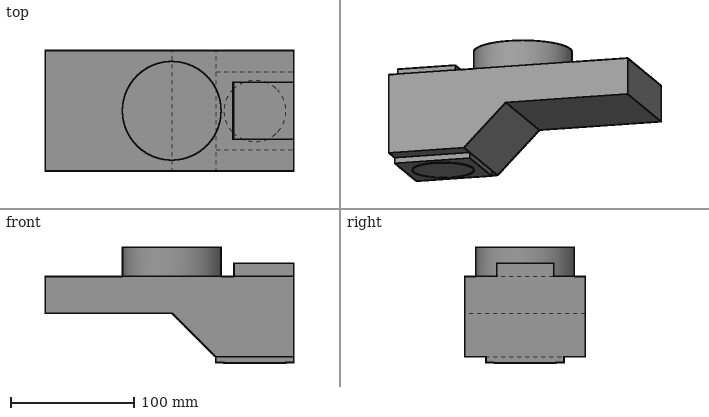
import cadquery as cq

length = 201.5
width = 98.0
arm_thickness = 30.0
block_depth = 65.3
foot_length = 63.5

boss_diameter = 80.0
boss_height = 23.5
boss_x = 102.5

pad_length = 48.5
pad_width = 46.1
pad_height = 10.7
pad_offset_y = 0.2
groove_width = 0.8
groove_depth = 0.1

foot_thickness = 4.6
disc_diameter = 50.0
disc_thickness = 0.6

foot_start_x = length - foot_length
foot_center_x = length - foot_length / 2
slope_start_x = foot_start_x - (block_depth - arm_thickness)


def make_body():
    """Side profile, with the top face at Z = 0, extruded evenly about Y = 0."""
    profile = [
        (0, 0),
        (length, 0),
        (length, -block_depth),
        (foot_start_x, -block_depth),
        (slope_start_x, -arm_thickness),
        (0, -arm_thickness),
    ]
    return cq.Workplane("XZ").polyline(profile).close().extrude(width / 2, both=True)


def make_boss():
    return cq.Workplane("XY").center(boss_x, 0).circle(boss_diameter / 2).extrude(boss_height)


def make_pad():
    pad_center_x = length - pad_length / 2
    return (
        cq.Workplane("XY")
        .center(pad_center_x, pad_offset_y)
        .rect(pad_length, pad_width)
        .extrude(pad_height)
    )


def make_groove():
    """Cutter for the shallow groove along the -X edge of the pad."""
    groove_center_x = length - pad_length - groove_width / 2
    return (
        cq.Workplane("XY")
        .center(groove_center_x, pad_offset_y)
        .rect(groove_width, pad_width)
        .extrude(-groove_depth)
    )


def make_foot():
    plate = (
        cq.Workplane("XY", origin=(foot_center_x, 0, -block_depth))
        .rect(foot_length, foot_length)
        .extrude(-foot_thickness)
    )
    disc = (
        cq.Workplane("XY", origin=(foot_center_x, 0, -block_depth - foot_thickness))
        .circle(disc_diameter / 2)
        .extrude(-disc_thickness)
    )
    return plate.union(disc)


result = make_body().cut(make_groove()).union(make_boss()).union(make_pad()).union(make_foot())